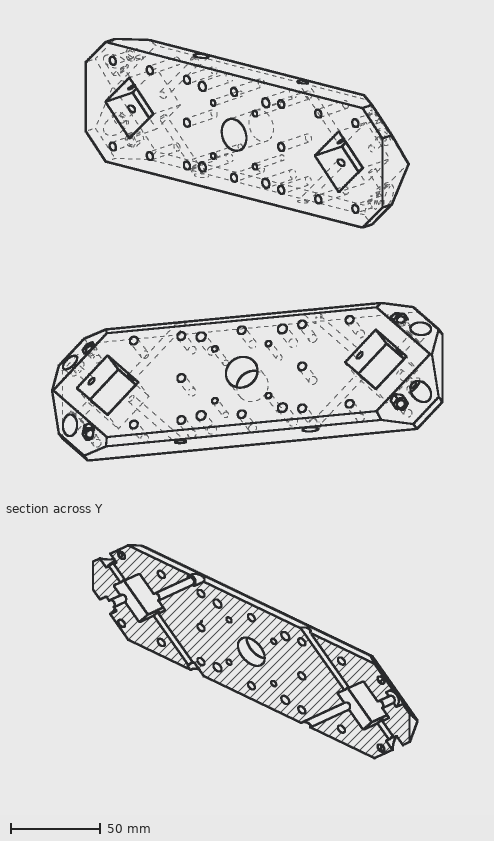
import cadquery as cq
import math

length = 220.0
thickness = 23.0
height = 70.0
corner_cut = 14.7
back_chamfer = 4.0
bevel_start = 8.1

socket_x = 77.7
socket_side = 25.0

centre_bore = 18.3
mount_hole = 4.6
mount_columns = [35.0, 62.5, 90.0]
mount_row = 25.0
large_hole = 5.3
large_pitch = 47.0
small_hole = 3.3
small_pitch = 31.0

nut_across_flats = 7.0
nut_depth = 8.0

clamp_hole = 4.5
clamp_back_distance = 8.0
clamp_offset = 3.63
outer_head = 10.0
outer_wall = 11.5
inner_head = 6.4
inner_wall = 34.3

SIGNS = (-1, 1)
DIAGONAL = math.sqrt(0.5)
socket_half = socket_side / 2
clamp_y = thickness - clamp_back_distance
clamp_reach = height


def mirrored_points(x, z):
    """The point (x, z) in all four quadrants."""
    return [(sx * x, sz * z) for sx in SIGNS for sz in SIGNS]


def drill(points, diameter):
    """Cylinders through the full thickness at (x, z) points."""
    return cq.Workplane("XZ").pushPoints(points).circle(diameter / 2).extrude(-thickness)


def plate():
    body = cq.Workplane("XZ").rect(length, height).extrude(-thickness)
    body = body.edges("|Y").chamfer(corner_cut)
    return body.faces(">Y").edges("|X").chamfer(back_chamfer)


def corner_bevel(sign_x, sign_z):
    """Wedge that slopes a corner cut inward at 45 degrees toward the back."""
    outward = cq.Vector(sign_x, 0, sign_z)
    cut_from_centre = (length / 2 + height / 2 - corner_cut) / 2
    plane = cq.Plane(outward * cut_from_centre, outward, cq.Vector(0, 1, 0).cross(outward))
    y_sign = plane.yDir.y
    rise = thickness - bevel_start
    profile = [(0, y_sign * bevel_start), (rise, y_sign * thickness), (-rise, y_sign * thickness)]
    return cq.Workplane(plane).polyline(profile).close().extrude(length, both=True)


def sockets():
    centres = [(sx * socket_x, 0) for sx in SIGNS]
    return cq.Workplane("XZ").pushPoints(centres).polygon(4, socket_side / DIAGONAL).extrude(-thickness)


def nut_recesses():
    across_corners = nut_across_flats / math.cos(math.pi / 6)
    back = cq.Workplane("XZ", origin=(0, thickness, 0))
    centres = mirrored_points(mount_columns[-1], mount_row)
    return back.pushPoints(centres).polygon(6, across_corners).extrude(nut_depth)


def clamp_bore(socket_centre_x, sign_x, sign_z, start_distance, diameter):
    """Cylinder running out of a socket along the diagonal (sign_x, sign_z).

    Its axis passes the socket centre at clamp_offset, and it starts start_distance from there.
    """
    direction = cq.Vector(sign_x, 0, sign_z) * DIAGONAL
    sideways = cq.Vector(sign_x, 0, -sign_z) * DIAGONAL
    start = cq.Vector(socket_centre_x, clamp_y, 0) + sideways * clamp_offset + direction * start_distance
    return cq.Solid.makeCylinder(diameter / 2, clamp_reach, start, direction)


mount_points = [point for column in mount_columns for point in mirrored_points(column, mount_row)]
mount_points += [(0, sz * mount_row) for sz in SIGNS]
mount_points += [(sx * mount_columns[0], 0) for sx in SIGNS]

body = plate()
for sx in SIGNS:
    for sz in SIGNS:
        body = body.cut(corner_bevel(sx, sz))

body = body.cut(sockets())
body = body.cut(drill([(0, 0)], centre_bore))
body = body.cut(drill(mount_points, mount_hole))
body = body.cut(drill(mirrored_points(large_pitch / 2, large_pitch / 2), large_hole))
body = body.cut(drill(mirrored_points(small_pitch / 2, small_pitch / 2), small_hole))
body = body.cut(nut_recesses())

for side in SIGNS:
    centre_x = side * socket_x
    for sz in SIGNS:
        body = body.cut(clamp_bore(centre_x, side, sz, 0, clamp_hole))
        body = body.cut(clamp_bore(centre_x, side, sz, socket_half + outer_wall, outer_head))
        body = body.cut(clamp_bore(centre_x, -side, sz, 0, clamp_hole))
        if side < 0:
            body = body.cut(clamp_bore(centre_x, -side, sz, socket_half + inner_wall, inner_head))

result = body